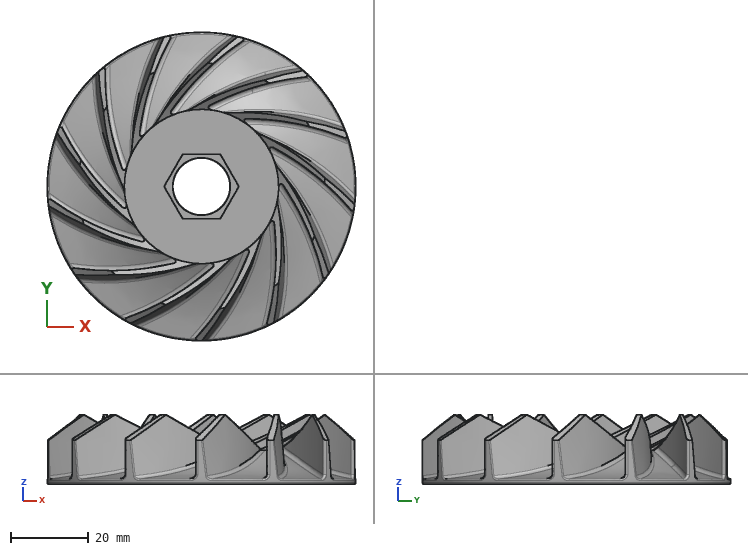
import cadquery as cq
import math

outer_radius = 40.0
hub_radius = 20.0
hub_height = 8.8
rim_height = 1.45
floor_sag = 1.2
edge_round = 0.5

bore_diameter = 14.8
nut_across_flats = 16.8
nut_seat_height = 3.6

blade_count = 13
blade_peak_radius = 32.0
blade_peak_height = 18.08
blade_rim_height = 11.4
hollow_arc_center = (-13.88, -50.83)
hollow_arc_radius = 69.06
bulging_arc_center = (-11.64, -48.83)
bulging_arc_radius = 68.74
blade_draft = 5
root_fillet = 1.0

seam_angle = 61.3
overshoot = 3.0
blank_height = 24.0
blank_inner_radius = 11.4
blade_stretch = [(12.8, 11.5), (12.8, 25), (55, 0), (55, -40), (30, -20)]
shortest_root_edge = 8.0
tolerance = 0.01

floor_run = outer_radius - hub_radius
floor_drop = hub_height - rim_height
floor_chord = math.hypot(floor_run, floor_drop)
floor_radius = (floor_chord**2 / 4 + floor_sag**2) / (2 * floor_sag)
center_offset = (floor_radius - floor_sag) / floor_chord
floor_center_radius = (hub_radius + outer_radius) / 2 + center_offset * floor_drop
floor_center_height = (hub_height + rim_height) / 2 + center_offset * floor_run


def floor_height(radius):
    """Height of the hollow floor at a distance from the axis."""
    return floor_center_height - math.sqrt(floor_radius**2 - (radius - floor_center_radius) ** 2)


def spin(profile):
    """Close a half profile and revolve it about the impeller axis."""
    solid = profile.close().revolve(360, (0, 0), (0, 1))
    return solid.rotate((0, 0, 0), (0, 0, 1), seam_angle)


def floor_blank():
    """The floor, carried on past the hub rim and the plate rim."""
    outer = outer_radius + overshoot
    middle = (blank_inner_radius + outer) / 2
    profile = (
        cq.Workplane("XZ")
        .lineTo(0, floor_height(blank_inner_radius))
        .lineTo(blank_inner_radius, floor_height(blank_inner_radius))
        .threePointArc((middle, floor_height(middle)), (outer, floor_height(outer)))
        .lineTo(outer, 0)
    )
    return spin(profile)


def blade_wall():
    """A tall curved wall: upright on its hollow side, drafted on its bulging side."""
    bulging_side = cq.Workplane("XY").center(*bulging_arc_center).circle(bulging_arc_radius)
    hollow_side = cq.Workplane("XY").center(*hollow_arc_center).circle(hollow_arc_radius)
    crescent = bulging_side.extrude(blank_height, taper=blade_draft).cut(hollow_side.extrude(blank_height))
    stretch = cq.Workplane("XY").polyline(blade_stretch).close().extrude(blank_height)
    return crescent.intersect(stretch)


def is_root_edge(edge):
    """True for the long edges where a blade side meets the floor."""
    middle = edge.positionAt(0.5)
    on_floor = abs(middle.z - floor_height(math.hypot(middle.x, middle.y))) < tolerance
    return on_floor and edge.geomType() == "BSPLINE" and edge.Length() > shortest_root_edge


def bladed_blank():
    """The floor with all blades standing on it and their roots filleted."""
    wall = blade_wall().val()
    pitch = 360 / blade_count
    walls = [wall.rotate((0, 0, 0), (0, 0, 1), index * pitch) for index in range(blade_count)]
    blank = cq.Workplane(floor_blank().val().fuse(*walls))
    roots = [edge for edge in blank.edges().vals() if is_root_edge(edge)]
    return blank.newObject(roots).fillet(root_fillet)


def envelope():
    """The turned outline that trims the hub top, the blade tips and the rim."""
    profile = (
        cq.Workplane("XZ")
        .lineTo(0, hub_height)
        .lineTo(hub_radius, hub_height)
        .lineTo(blade_peak_radius, blade_peak_height)
        .lineTo(outer_radius, blade_rim_height)
        .lineTo(outer_radius, 0)
    )
    return spin(profile)


def is_rounded_rim_edge(edge):
    """True for edges on the outer cylinder, except the blade tips and the cylinder's seam."""
    points = [edge.positionAt(place) for place in (0, 0.3, 0.5, 1)]
    if any(abs(math.hypot(point.x, point.y) - outer_radius) > tolerance for point in points):
        return False
    heights = [point.z for point in points]
    on_tip = min(heights) > blade_rim_height - tolerance
    is_seam = min(heights) < tolerance < max(heights)
    return not on_tip and not is_seam


def round_rim(impeller):
    """Round the bottom edge, the plate rim and the outer ends of the blades."""
    edges = [edge for edge in impeller.edges().vals() if is_rounded_rim_edge(edge)]
    return impeller.newObject(edges).fillet(edge_round)


def cut_bore(impeller):
    """Cut the shaft bore and the hexagonal nut pocket above it."""
    across_corners = nut_across_flats / math.cos(math.pi / 6)
    bore = cq.Workplane("XY").circle(bore_diameter / 2).extrude(hub_height)
    pocket = cq.Workplane("XY").workplane(offset=nut_seat_height).polygon(6, across_corners)
    return impeller.cut(bore).cut(pocket.extrude(hub_height))


result = cut_bore(round_rim(bladed_blank().intersect(envelope())))